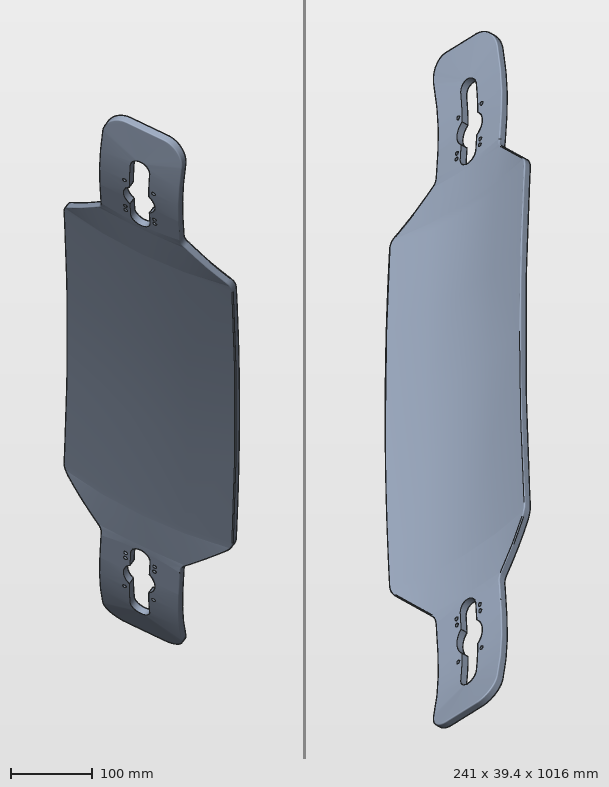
import cadquery as cq
import math

LENGTH = 1016.0
WIDTH = 241.0
THICKNESS = 10.0
EDGE_ROUND = 1.5

CONCAVE_RADIUS = 569.0
ROCKER_RADIUS = 4269.0
PLATFORM_HALF_LENGTH = 265.0
SHOULDER_ROUND = 25.0

NECK_START_Z = 322.0
NECK_CONCAVE_RADIUS = 1016.0
NECK_END_Z = 331.0
NECK_END_BOW_RADIUS = 244.0
NECK_ROUND = 15.0

TAIL_WIDTH = 114.0
TAIL_CORNER_RADIUS = 30.0
TAIL_SLOPE = math.radians(3.9)
FLAT_END_Z = 379.0
TIP_CURVE_RADIUS = 366.0

SLOT_WIDTH = 27.0
SLOT_INNER_Z = 330.0
SLOT_OUTER_Z = 458.0
PIVOT_DIAMETER = 45.0
PIVOT_Z = 385.0
BOLT_DIAMETER = 5.0
BOLT_ROW_SPACING = 41.3
BOLT_ROWS_Z = (349.0, 358.0, 413.0)

SHEET_HALF_WIDTH = WIDTH / 2 + 6.0
TIP_EXTRA_ANGLE = math.radians(2)
TRIM_DEPTH = 203.0
TOLERANCE = 0.1

ROCKER_ANGLE = math.asin(PLATFORM_HALF_LENGTH / ROCKER_RADIUS)
PLATFORM_END_Y = -ROCKER_RADIUS * (1 - math.cos(ROCKER_ANGLE))


def arc_rise(radius):
    """Height gained by an arc from the centre line to the edge of the sheet."""
    return radius - math.sqrt(radius**2 - SHEET_HALF_WIDTH**2)


def mount_y(z):
    """Y of the truck mount's front face, which starts at the platform's end."""
    return PLATFORM_END_Y - (z - PLATFORM_HALF_LENGTH) * math.tan(TAIL_SLOPE)


def cross_section(y, z, tilt, rise=0.0, bow=0.0):
    """Wire across the sheet: the edges are raised along the tilted normal and bowed along the length."""
    normal = cq.Vector(0, math.cos(tilt), math.sin(tilt))
    along = cq.Vector(0, -math.sin(tilt), math.cos(tilt))
    side = cq.Vector(SHEET_HALF_WIDTH, 0, 0)
    front_middle = cq.Vector(0, y, z)
    front_edge = front_middle + normal * rise + along * bow
    through = normal * THICKNESS

    def across(start, middle, end):
        if rise == 0 and bow == 0:
            return cq.Edge.makeLine(start, end)
        return cq.Edge.makeThreePointArc(start, middle, end)

    front_left, front_right = front_edge - side, front_edge + side
    back_left, back_right = front_left + through, front_right + through
    return cq.Wire.assembleEdges([
        across(front_left, front_middle, front_right),
        cq.Edge.makeLine(front_right, back_right),
        across(back_right, front_middle + through, back_left),
        cq.Edge.makeLine(back_left, front_left),
    ])


def platform_end_section(tilt):
    """Concave cross-section at the given angle along the rocker."""
    y = -ROCKER_RADIUS * (1 - math.cos(tilt))
    z = ROCKER_RADIUS * math.sin(tilt)
    return cross_section(y, z, tilt, rise=arc_rise(CONCAVE_RADIUS))


def platform():
    """Concave section swept along the rocker by turning it about a far axis parallel to X."""
    return cq.Solid.revolve(
        platform_end_section(-ROCKER_ANGLE), [], math.degrees(2 * ROCKER_ANGLE),
        cq.Vector(0, -ROCKER_RADIUS, 0), cq.Vector(10, -ROCKER_RADIUS, 0),
    )


def neck_and_mount():
    """Ruled blend from the concave platform through the neck to the flat truck mount."""
    return cq.Solid.makeLoft([
        platform_end_section(ROCKER_ANGLE),
        cross_section(
            mount_y(NECK_START_Z), NECK_START_Z, TAIL_SLOPE, rise=arc_rise(NECK_CONCAVE_RADIUS),
        ),
        cross_section(mount_y(NECK_END_Z), NECK_END_Z, TAIL_SLOPE, bow=arc_rise(NECK_END_BOW_RADIUS)),
        cross_section(mount_y(FLAT_END_Z), FLAT_END_Z, TAIL_SLOPE),
    ], True)


def upturned_tip():
    """Tail end curling towards +Y, tangent to the truck mount."""
    center_y = mount_y(FLAT_END_Z) + TIP_CURVE_RADIUS * math.cos(TAIL_SLOPE)
    center_z = FLAT_END_Z + TIP_CURVE_RADIUS * math.sin(TAIL_SLOPE)
    sweep = math.asin((LENGTH / 2 - center_z) / TIP_CURVE_RADIUS) + TAIL_SLOPE + TIP_EXTRA_ANGLE
    return cq.Solid.revolve(
        cross_section(mount_y(FLAT_END_Z), FLAT_END_Z, TAIL_SLOPE), [], math.degrees(sweep),
        cq.Vector(0, center_y, center_z), cq.Vector(-10, center_y, center_z),
    )


def outline():
    """Plan shape in X and Z, with 45 degree shoulders, as a block that trims the sheet."""
    half_tail = TAIL_WIDTH / 2
    half_width = WIDTH / 2
    half_length = LENGTH / 2
    neck_z = PLATFORM_HALF_LENGTH + half_width - half_tail
    quarter = [
        (half_tail, half_length),
        (half_tail, neck_z),
        (half_width, PLATFORM_HALF_LENGTH),
    ]
    right = quarter + [(x, -z) for x, z in reversed(quarter)]
    left = [(-x, -z) for x, z in right]
    block = cq.Workplane("XZ").polyline(right + left).close().extrude(TRIM_DEPTH, both=True)

    def round_corners(body, z, radius):
        corners = body.edges("|Y").filter(lambda edge: math.isclose(edge.Center().z, z, abs_tol=TOLERANCE))
        return corners.fillet(radius)

    for end in (1, -1):
        block = round_corners(block, end * half_length, TAIL_CORNER_RADIUS)
        block = round_corners(block, end * neck_z, NECK_ROUND)
        block = round_corners(block, end * PLATFORM_HALF_LENGTH, SHOULDER_ROUND)
    return block


def rim_edges(board):
    """Edges of the front and back faces that follow the outline; seams across the board center on X = 0."""
    def on_rim(edge):
        center = edge.Center()
        on_side = abs(center.x) > TOLERANCE
        on_tip = math.isclose(abs(center.z), LENGTH / 2, abs_tol=TOLERANCE)
        return on_side or on_tip

    return board.edges("not |Y").filter(on_rim)


def truck_cutout():
    """Slot with a wider round opening for the truck pivot, and two columns of bolt holes."""
    slot_length = SLOT_OUTER_Z - SLOT_INNER_Z
    slot_z = (SLOT_OUTER_Z + SLOT_INNER_Z) / 2
    slot = (
        cq.Workplane("XZ").center(0, slot_z)
        .slot2D(slot_length, SLOT_WIDTH, 90).extrude(TRIM_DEPTH, both=True)
    )
    pivot = cq.Workplane("XZ").center(0, PIVOT_Z).circle(PIVOT_DIAMETER / 2).extrude(TRIM_DEPTH, both=True)
    bolt_points = [(side * BOLT_ROW_SPACING / 2, z) for side in (1, -1) for z in BOLT_ROWS_Z]
    bolts = (
        cq.Workplane("XZ").pushPoints(bolt_points)
        .circle(BOLT_DIAMETER / 2).extrude(TRIM_DEPTH, both=True)
    )
    return slot.union(pivot).union(bolts)


upper_end = cq.Workplane(neck_and_mount()).union(cq.Workplane(upturned_tip()))
sheet = cq.Workplane(platform()).union(upper_end).union(upper_end.mirror("XY"))
board = sheet.intersect(outline())
board = rim_edges(board).fillet(EDGE_ROUND)
cutout = truck_cutout()
result = board.cut(cutout).cut(cutout.mirror("XY"))